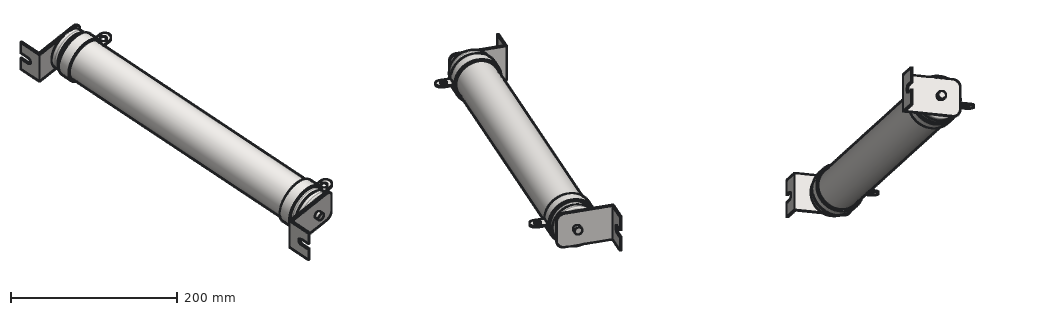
import cadquery as cq

overall_length = 470.0
half_length = overall_length / 2

tube_diameter = 55.0
tube_radius = tube_diameter / 2
sleeve_wall = 3.0
band_radius = 30.0
band_width = 15.5
sleeve_half_length = 188.0
end_half_length = 204.0
washer_width = 10.0
edge_round = 3.0

lug_tip_y = 51.0
lug_thickness = 2.0
lug_hole_y = 41.0
lug_hole_diameter = 8.5

rod_diameter = 10.0
rod_radius = rod_diameter / 2
rod_half_length = 213.0
plate_thickness = 3.0
foot_thickness = 2.0
bracket_width = 46.5
bracket_back_y = 25.5
bracket_front_y = -47.0
bracket_corner_radius = 9.5
slot_width = 10.0
slot_depth = 16.5

core_radius = tube_radius - sleeve_wall
washer_inner_x = end_half_length - washer_width
band_center_x = sleeve_half_length - band_width / 2


def cylinder_x(radius, x_start, x_end):
    """Cylinder along the X axis between two positions."""
    return cq.Workplane("YZ").workplane(offset=x_start).circle(radius).extrude(x_end - x_start)


def mirrored_pair(shape):
    """The shape together with its mirror image about X = 0."""
    return shape, shape.mirror("YZ")


def make_washer():
    """End washer with both rims rounded."""
    return cylinder_x(tube_radius, washer_inner_x, end_half_length).edges().fillet(edge_round)


def make_collar():
    """Exposed end of the core, rounded where it meets the washer."""
    collar = cylinder_x(tube_radius, sleeve_half_length, washer_inner_x)
    return collar.faces(">X").edges().fillet(edge_round)


def make_bracket():
    """Upright plate against the washer, with a slotted foot turned outward."""
    plate_outer_x = end_half_length + plate_thickness
    plate = (
        cq.Workplane("XY")
        .box(
            plate_thickness, bracket_back_y - bracket_front_y, bracket_width,
            centered=(False, False, True),
        )
        .translate((end_half_length, bracket_front_y, 0))
        .edges("|X and >Y")
        .fillet(bracket_corner_radius)
    )
    foot = (
        cq.Workplane("XY")
        .box(
            half_length - end_half_length, foot_thickness, bracket_width,
            centered=(False, False, True),
        )
        .translate((end_half_length, bracket_front_y, 0))
    )
    slot_length = 2 * slot_depth
    slot = (
        cq.Workplane("XZ", origin=(half_length, bracket_front_y, 0))
        .slot2D(slot_length, slot_width)
        .extrude(-foot_thickness)
    )
    rod_end = cylinder_x(rod_radius, plate_outer_x, rod_half_length)
    return plate.union(foot.cut(slot)).union(rod_end)


def make_core():
    """Core with its insulating ends, brackets and rod ends."""
    core = cylinder_x(core_radius, -sleeve_half_length, sleeve_half_length)
    for end_part in (make_collar(), make_washer(), make_bracket()):
        for side_part in mirrored_pair(end_part):
            core = core.union(side_part)
    return core


def make_terminal():
    """Raised band with a round-tipped lug."""
    band = cylinder_x(band_radius, sleeve_half_length - band_width, sleeve_half_length)
    tip_radius = band_width / 2
    lug_left = band_center_x - tip_radius
    lug_right = band_center_x + tip_radius
    lug_shoulder_y = lug_tip_y - tip_radius
    lug = (
        cq.Workplane("XY", origin=(0, 0, -lug_thickness / 2))
        .moveTo(lug_left, 0)
        .lineTo(lug_left, lug_shoulder_y)
        .threePointArc((band_center_x, lug_tip_y), (lug_right, lug_shoulder_y))
        .lineTo(lug_right, 0)
        .close()
        .extrude(lug_thickness)
    )
    hole = (
        cq.Workplane("XY", origin=(band_center_x, lug_hole_y, -lug_thickness / 2))
        .circle(lug_hole_diameter / 2)
        .extrude(lug_thickness)
    )
    return band.union(lug).cut(hole)


def make_sleeve():
    """Tube with a terminal band at each end, bored to fit the core."""
    sleeve = cylinder_x(tube_radius, -sleeve_half_length, sleeve_half_length)
    for terminal in mirrored_pair(make_terminal()):
        sleeve = sleeve.union(terminal)
    return sleeve.cut(cylinder_x(core_radius, -sleeve_half_length, sleeve_half_length))


core = make_core()
sleeve = make_sleeve()
result = cq.Compound.makeCompound([core.val(), sleeve.val()])